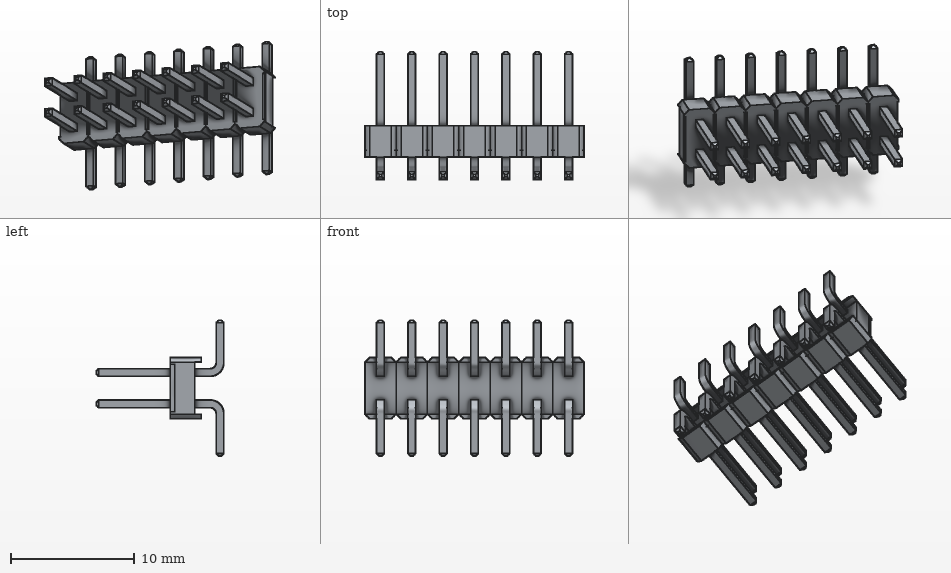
import cadquery as cq
import math

MODULE_COUNT = 7
ROW_LENGTH = 17.78
PITCH = ROW_LENGTH / MODULE_COUNT

HOUSING_DEPTH = PITCH
HOUSING_HEIGHT = 5.0
FRONT_RECESS_DEPTH = 0.53
SIDE_HEIGHT = 4.2
CORNER_SIZE = (HOUSING_HEIGHT - SIDE_HEIGHT) / 2
RELIEF_DEPTH = 0.12
RELIEF_LENGTH = 0.4
RELIEF_MARGIN = 0.18

PIN_SIZE = 0.64
PIN_ROW_Z = PITCH / 2
OVERALL_DEPTH = 10.37
OVERALL_HEIGHT = 11.0
LEG_OVERHANG = 1.83
BEND_RADIUS_OUTER = 1.12
BEND_RADIUS_INNER = BEND_RADIUS_OUTER - PIN_SIZE
TIP_LENGTH = 0.21
TIP_FLAT = 0.21

LEG_FRONT_Y = -HOUSING_DEPTH - LEG_OVERHANG
MATING_SHOULDER_Y = LEG_FRONT_Y + OVERALL_DEPTH - TIP_LENGTH
LEG_SHOULDER_Z = OVERALL_HEIGHT / 2 - TIP_LENGTH


def make_housing():
    """Block with bevelled long edges, a front recess and a shallow relief in each side."""
    half_width = PITCH / 2
    half_height = HOUSING_HEIGHT / 2
    half_side = SIDE_HEIGHT / 2
    half_flat = half_width - CORNER_SIZE
    block = (
        cq.Workplane("XZ")
        .polyline([
            (-half_width, -half_side),
            (-half_flat, -half_height),
            (half_flat, -half_height),
            (half_width, -half_side),
            (half_width, half_side),
            (half_flat, half_height),
            (-half_flat, half_height),
            (-half_width, half_side),
        ])
        .close()
        .extrude(HOUSING_DEPTH)
    )
    front_recess = cq.Workplane("XY").box(PITCH, FRONT_RECESS_DEPTH, SIDE_HEIGHT).translate(
        (0, -HOUSING_DEPTH + FRONT_RECESS_DEPTH / 2, 0)
    )
    block = block.cut(front_recess)
    for side in (-1, 1):
        relief = cq.Workplane("XY").box(RELIEF_DEPTH, RELIEF_LENGTH, SIDE_HEIGHT - 2 * RELIEF_MARGIN)
        relief_x = side * (half_width - RELIEF_DEPTH / 2)
        block = block.cut(relief.translate((relief_x, -RELIEF_LENGTH / 2, 0)))
    return block


def make_tip():
    """Four-sided tapered pin end, rising along Z from a base centred on the origin."""
    taper = math.degrees(math.atan((PIN_SIZE - TIP_FLAT) / 2 / TIP_LENGTH))
    return cq.Workplane("XY").rect(PIN_SIZE, PIN_SIZE).extrude(TIP_LENGTH, taper=taper)


def make_upper_pin():
    """Square pin running forward through the housing, then bent upward."""
    pin_bottom = PIN_ROW_Z - PIN_SIZE / 2
    pin_top = PIN_ROW_Z + PIN_SIZE / 2
    leg_back_y = LEG_FRONT_Y + PIN_SIZE
    bend_y = LEG_FRONT_Y + BEND_RADIUS_OUTER
    bend_z = pin_bottom + BEND_RADIUS_OUTER
    diagonal = math.cos(math.radians(45))
    outer_middle = (bend_y - BEND_RADIUS_OUTER * diagonal, bend_z - BEND_RADIUS_OUTER * diagonal)
    inner_middle = (bend_y - BEND_RADIUS_INNER * diagonal, bend_z - BEND_RADIUS_INNER * diagonal)
    bar = (
        cq.Workplane("YZ")
        .moveTo(MATING_SHOULDER_Y, pin_bottom)
        .lineTo(bend_y, pin_bottom)
        .threePointArc(outer_middle, (LEG_FRONT_Y, bend_z))
        .lineTo(LEG_FRONT_Y, LEG_SHOULDER_Z)
        .lineTo(leg_back_y, LEG_SHOULDER_Z)
        .lineTo(leg_back_y, bend_z)
        .threePointArc(inner_middle, (bend_y, pin_top))
        .lineTo(MATING_SHOULDER_Y, pin_top)
        .close()
        .extrude(PIN_SIZE / 2, both=True)
    )
    leg_tip = make_tip().translate((0, LEG_FRONT_Y + PIN_SIZE / 2, LEG_SHOULDER_Z))
    mating_tip = (
        make_tip()
        .rotate((0, 0, 0), (1, 0, 0), -90)
        .translate((0, MATING_SHOULDER_Y, PIN_ROW_Z))
    )
    return bar.union(leg_tip).union(mating_tip)


def make_module():
    """One housing with its upper and lower pins, as a single solid."""
    upper_pin = make_upper_pin()
    lower_pin = upper_pin.mirror("XY")
    return make_housing().union(upper_pin).union(lower_pin)


module = make_module()
modules = []
for index in range(MODULE_COUNT):
    module_x = (index - (MODULE_COUNT - 1) / 2) * PITCH
    modules.append(module.translate((module_x, 0, 0)).val())

result = cq.Compound.makeCompound(modules)